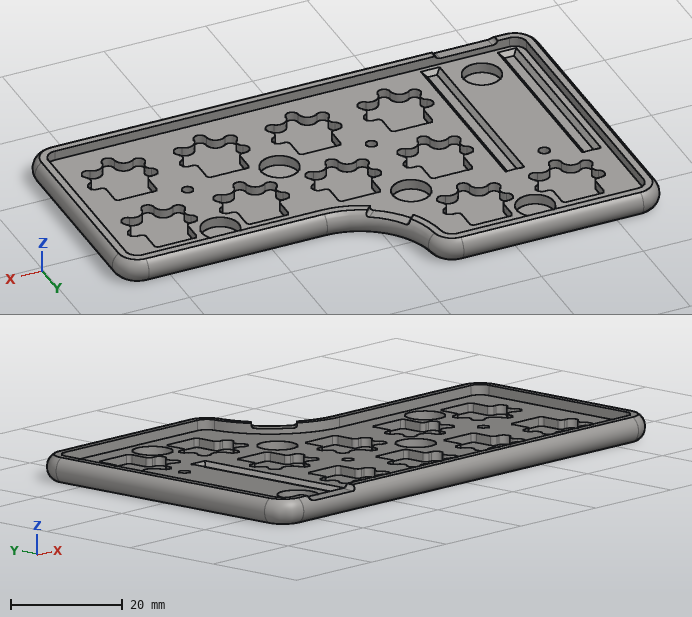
import cadquery as cq
import math

LENGTH = 99.3
WIDTH = 60.0
HEIGHT = 4.6
LOW_WIDTH = 42.9
HIGH_LENGTH = 45.3
CORNER_RADIUS = 5.0
STEP_CENTER_X = 59.3
EDGE_RADIUS = 2.7
RIM_WIDTH = EDGE_RADIUS
FLOOR_Z = 2.7

high_corner_x = HIGH_LENGTH - CORNER_RADIUS
high_corner_y = WIDTH - CORNER_RADIUS
step_dx = STEP_CENTER_X - high_corner_x
step_rise = high_corner_y - LOW_WIDTH
step_radius = (step_dx**2 + step_rise**2 - CORNER_RADIUS**2) / (2 * (CORNER_RADIUS + step_rise))
step_center_y = LOW_WIDTH + step_radius

PITCH_X = 18.1
PITCH_Y = 17.0
FIRST_COLUMN_X = 13.6
TOP_ROW_Y = 46.7
POCKET_DEPTH = 1.7
pocket_columns = [FIRST_COLUMN_X + i * PITCH_X for i in range(5)]
pocket_rows = [TOP_ROW_Y - i * PITCH_Y for i in range(3)]
pocket_centers = [(x, pocket_rows[0]) for x in pocket_columns[:2]]
pocket_centers += [(x, y) for y in pocket_rows[1:] for x in pocket_columns[1:]]

STEM_WIDTH = 8.2
STEM_TOP = 6.8
STEM_CORNER = 0.7
STEM_FILLET = 0.8
LOBE_RADIUS = 1.2
BOTTOM_LOBE = (0.0, -5.6)
LOWER_LOBE = (-5.0, -3.3)
SIDE_LOBE = (-5.6, 0.7)
BOTTOM_VALLEY_RADIUS = 1.9
SIDE_VALLEY_RADIUS = 1.2

between_columns = [x + PITCH_X / 2 for x in pocket_columns]
HOLE_ROW_Y = 21.5
PIN_HOLE_DIAMETER = 2.1
pin_holes = [(FIRST_COLUMN_X, 36.3), (between_columns[1], HOLE_ROW_Y), (between_columns[3], HOLE_ROW_Y)]
RECESS_DIAMETER = 7.2
RECESS_DEPTH = 2.0
round_recesses = [
    (between_columns[0], 52.1),
    (between_columns[1], 38.4),
    (between_columns[2], HOLE_ROW_Y),
    (between_columns[3], 35.5),
    (13.2, 8.8),
]

GROOVE_WIDTH = 3.7
GROOVE_LENGTH = 36.1
GROOVE_DEPTH = 0.9
GROOVE_WALL_TAPER = 45.0
GROOVE_CENTER_Y = 21.6
groove_centers_x = [5.9, 21.0]

FRONT_NOTCH_X = 13.4
FRONT_NOTCH_WIDTH = 12.3
FRONT_NOTCH_DEPTH = 0.7
FRONT_NOTCH_FILLET = 1.0
FRONT_NOTCH_SLOPE = 5.0
STEP_NOTCH_WIDTH = 8.2
STEP_NOTCH_DEPTH = 0.9
STEP_NOTCH_FILLET = 0.6
STEP_NOTCH_TURN = -45.0


def outline(inset):
    """Closed tray outline, shifted inwards by inset, starting on the left side."""
    corner = CORNER_RADIUS - inset
    diagonal = corner * math.sqrt(0.5)
    near = CORNER_RADIUS
    far_x = LENGTH - CORNER_RADIUS
    low_y = LOW_WIDTH - CORNER_RADIUS
    concave = step_radius + inset
    join_angle = math.atan2(high_corner_y - step_center_y, high_corner_x - STEP_CENTER_X) % (2 * math.pi)
    bottom_angle = 1.5 * math.pi
    middle_angle = (join_angle + bottom_angle) / 2
    away = join_angle - math.pi

    def step_point(angle):
        return (STEP_CENTER_X + concave * math.cos(angle), step_center_y + concave * math.sin(angle))

    high_mid_angle = (math.pi / 2 + away) / 2
    high_mid = (
        high_corner_x + corner * math.cos(high_mid_angle),
        high_corner_y + corner * math.sin(high_mid_angle),
    )
    return (
        cq.Workplane("XY")
        .moveTo(inset, WIDTH / 2)
        .lineTo(inset, high_corner_y)
        .threePointArc((near - diagonal, high_corner_y + diagonal), (near, WIDTH - inset))
        .lineTo(high_corner_x, WIDTH - inset)
        .threePointArc(high_mid, step_point(join_angle))
        .threePointArc(step_point(middle_angle), step_point(bottom_angle))
        .lineTo(far_x, LOW_WIDTH - inset)
        .threePointArc((far_x + diagonal, low_y + diagonal), (LENGTH - inset, low_y))
        .lineTo(LENGTH - inset, near)
        .threePointArc((far_x + diagonal, near - diagonal), (far_x, inset))
        .lineTo(near, inset)
        .threePointArc((near - diagonal, near - diagonal), (inset, near))
        .close()
    )


def tray_body():
    """Flat floor with a raised rim whose outer edge bulges in a circular arc."""
    flat_inset = EDGE_RADIUS - math.sqrt(EDGE_RADIUS**2 - (HEIGHT / 2) ** 2)
    rim_profile = (
        cq.Workplane("XZ", origin=(0, WIDTH / 2, 0))
        .moveTo(RIM_WIDTH, 0)
        .lineTo(flat_inset, 0)
        .threePointArc((0, HEIGHT / 2), (flat_inset, HEIGHT))
        .lineTo(RIM_WIDTH, HEIGHT)
        .close()
    )
    rim = rim_profile.sweep(outline(RIM_WIDTH))
    return outline(RIM_WIDTH).extrude(FLOOR_Z).union(rim)


def toward(start, end, distance):
    """Point at the given distance from start, in the direction of end."""
    length = math.dist(start, end)
    return tuple(a + distance * (b - a) / length for a, b in zip(start, end))


def valley_center(lobe, next_lobe, valley_radius):
    """Point midway between two lobes, and centre of the outer circle tangent to both."""
    middle = ((lobe[0] + next_lobe[0]) / 2, (lobe[1] + next_lobe[1]) / 2)
    half_gap = math.dist(lobe, middle)
    offset = math.sqrt((LOBE_RADIUS + valley_radius) ** 2 - half_gap**2)
    outward = (middle[0] + lobe[1] - middle[1], middle[1] - lobe[0] + middle[0])
    return middle, toward(middle, outward, offset)


def lobe_tip(lobe, start, end):
    """Outermost point of the lobe arc between two points on its circle."""
    chord_middle = ((start[0] + end[0]) / 2, (start[1] + end[1]) / 2)
    return toward(lobe, chord_middle, LOBE_RADIUS)


def lobed_pocket():
    """Cutter: a square stem above a body with five rounded lobes, symmetric about X = 0."""
    bottom_mid, bottom_valley = valley_center(BOTTOM_LOBE, LOWER_LOBE, BOTTOM_VALLEY_RADIUS)
    side_mid, side_valley = valley_center(LOWER_LOBE, SIDE_LOBE, SIDE_VALLEY_RADIUS)
    tip = (BOTTOM_LOBE[0], BOTTOM_LOBE[1] - LOBE_RADIUS)
    bottom_end = toward(BOTTOM_LOBE, bottom_valley, LOBE_RADIUS)
    lower_start = toward(LOWER_LOBE, bottom_valley, LOBE_RADIUS)
    lower_end = toward(LOWER_LOBE, side_valley, LOBE_RADIUS)
    side_start = toward(SIDE_LOBE, side_valley, LOBE_RADIUS)
    side_end = (SIDE_LOBE[0], SIDE_LOBE[1] + LOBE_RADIUS)
    stem_x = -STEM_WIDTH / 2
    half = (
        cq.Workplane("XY")
        .moveTo(*tip)
        .threePointArc(lobe_tip(BOTTOM_LOBE, tip, bottom_end), bottom_end)
        .threePointArc(toward(bottom_valley, bottom_mid, BOTTOM_VALLEY_RADIUS), lower_start)
        .threePointArc(lobe_tip(LOWER_LOBE, lower_start, lower_end), lower_end)
        .threePointArc(toward(side_valley, side_mid, SIDE_VALLEY_RADIUS), side_start)
        .threePointArc(lobe_tip(SIDE_LOBE, side_start, side_end), side_end)
        .lineTo(stem_x - STEM_FILLET, side_end[1])
        .radiusArc((stem_x, side_end[1] + STEM_FILLET), -STEM_FILLET)
        .lineTo(stem_x, STEM_TOP - STEM_CORNER)
        .radiusArc((stem_x + STEM_CORNER, STEM_TOP), STEM_CORNER)
        .lineTo(0, STEM_TOP)
        .close()
        .extrude(POCKET_DEPTH)
    )
    return half.union(half.mirror("YZ"))


def groove(center_x):
    """Cutter: a long groove whose four walls slope inwards."""
    return (
        cq.Workplane("XY", origin=(center_x, GROOVE_CENTER_Y, FLOOR_Z))
        .rect(GROOVE_WIDTH, GROOVE_LENGTH)
        .extrude(-GROOVE_DEPTH, taper=GROOVE_WALL_TAPER)
    )


def rim_notch(width, depth, fillet):
    """Cutter: a bar along Y with rounded bottom edges, sunk by depth into the rim top."""
    return (
        cq.Workplane("XY", origin=(0, 0, HEIGHT - depth))
        .box(width, 3 * RIM_WIDTH, HEIGHT, centered=(True, True, False))
        .edges("|Y and <Z")
        .fillet(fillet)
    )


result = tray_body()

pocket = lobed_pocket()
for x, y in pocket_centers:
    result = result.cut(pocket.translate((x, y, FLOOR_Z - POCKET_DEPTH)))

recesses = cq.Workplane("XY", origin=(0, 0, FLOOR_Z)).pushPoints(round_recesses)
result = result.cut(recesses.circle(RECESS_DIAMETER / 2).extrude(-RECESS_DEPTH))

through_holes = cq.Workplane("XY").pushPoints(pin_holes)
result = result.cut(through_holes.circle(PIN_HOLE_DIAMETER / 2).extrude(FLOOR_Z))

for x in groove_centers_x:
    result = result.cut(groove(x))

front_notch = rim_notch(FRONT_NOTCH_WIDTH, FRONT_NOTCH_DEPTH, FRONT_NOTCH_FILLET)
notch_floor_z = HEIGHT - FRONT_NOTCH_DEPTH
front_notch = front_notch.rotate((0, 0, notch_floor_z), (1, 0, notch_floor_z), FRONT_NOTCH_SLOPE)
result = result.cut(front_notch.translate((FRONT_NOTCH_X, RIM_WIDTH, 0)))

step_notch = rim_notch(STEP_NOTCH_WIDTH, STEP_NOTCH_DEPTH, STEP_NOTCH_FILLET)
step_notch_reach = (step_radius + RIM_WIDTH / 2) * math.sqrt(0.5)
step_notch_center = (STEP_CENTER_X - step_notch_reach, step_center_y - step_notch_reach, 0)
result = result.cut(step_notch.rotate((0, 0, 0), (0, 0, 1), STEP_NOTCH_TURN).translate(step_notch_center))